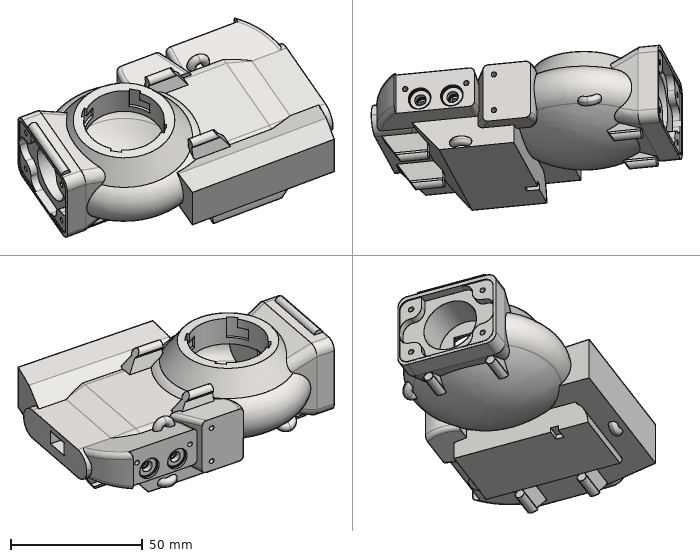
import cadquery as cq
import math


RIM_RADIUS = 19.35
RIM_TOP = 16.63
BELLY_TOP_RADIUS = 26.1
BELLY_BOTTOM_RADIUS = 28.2
BELLY_RADIUS = 32.0
BELLY_Z = -1.0
BELLY_HALF_HEIGHT = 8.3
CAP_MID = (18.2, -15.8)
CAP_BOTTOM = -19.8

SOCKET_RADIUS = 30.7 / 2
SOCKET_LEDGE_Z = 5.1
CAVITY_RADIUS = 28.0
CAVITY_TOP_RADIUS = 23.0
DISH_EDGE = (24.0, -8.3)
DISH_MID = (12.4, -14.7)
DISH_BOTTOM = -16.8

BAYONET_ANGLES = (48, 138, 228, 322)
BAYONET_WIDTH = 4.4
BAYONET_RADIUS = 16.4
BAYONET_TURN = 17
BAYONET_BOTTOM = 8.0
BAYONET_TURN_TOP = 12.8

FLANGE_X = -1.3
FLANGE_WIDTH = 41.2
FLANGE_TOP = 16.2
FLANGE_BOTTOM = -15.9
FLANGE_FRONT = -34.1
FLANGE_BACK = -26.2
FLANGE_CORNER = 4.0
NECK_END = -10.0
NECK_TOP = 9.1
NECK_BOTTOM = -10.7
NECK_SIDE_TAPER = 2.65
BEAD_LENGTH = 28.0
BEAD_X = 0.2
BEAD_RADIUS = 2.0
BEAD_Y = -32.1
BEAD_TOP = 17.8

BORE_X = -1.6
BORE_RADIUS = 22 / 2
BORE_END = -16.3
RECESS_X = -1.68
RECESS_WIDTH = 39.2
RECESS_HEIGHT = 29.0
RECESS_DEPTH = 0.5
POCKET_DEPTH = 3.0
SCREW_SPACING_X = 30.0
SCREW_SPACING_Z = 20.0
SCREW_DIAMETER = 2.1
SCREW_DEPTH = 6.0
BOSS_RADIUS = 8.7 / 2

CHANNEL_WIDTH = 9.9
CHANNEL_X = -1.55
CHANNEL_BOTTOM = -5.0
CHANNEL_TOP = 5.1
CHANNEL_KNEE = (45.0, 2.7)
CHANNEL_EXIT_TOP = 0.8
CHANNEL_EXIT_Y = 46.0

TAIL_END = 77.9
TAIL_STEP_REAR = 63.0
TAIL_STEP_FRONT = 53.0
TAIL_START = 15.0
TAIL_REAR_WIDTH = 45.0
TAIL_REAR_TOP = 3.2
TAIL_REAR_BOTTOM = -9.5
TAIL_FRONT_WIDTH = 48.7
TAIL_CORNER = 6.3
TAIL_FRONT_TOP = 5.1
TAIL_FRONT_BOTTOM = -9.5

HOUSING_FACE = -33.4
HOUSING_LIP = -36.4
HOUSING_FRONT = 35.0
HOUSING_LIP_Y = 65.7
HOUSING_REAR_MID = (-27.5, 73.3)
HOUSING_REAR_END = (-17.0, 77.0)
HOUSING_INNER = -15.0
HOUSING_TOP = 8.2
HOUSING_INNER_TOP = 2.9
HOUSING_BOTTOM = -8.7
HOUSING_FILLET = 2.0
JACK_YS = (56.5, 43.9)
JACK_Z = -3.35
JACK_STEPS = ((8.7, 1.0), (8.0, 1.5), (4.4, 4.0), (3.5, 5.0), (1.9, 8.0))
HOUSING_SCREW_YS = (62.1, 38.2)
HOUSING_SCREW_Z = 1.2
SIDE_SCREW_DIAMETER = 2.0
SIDE_SCREW_DEPTH = 4.0

BOX_FACE = -32.2
BOX_FRONT = 12.4
BOX_BULGE_X = -27.0
BOX_SIDE_FRONT = 15.0
BOX_REAR = 32.0
BOX_REAR_INNER = 38.3
BOX_INNER = -18.8
BOX_TOP = 8.9
BOX_INNER_TOP = 7.0
BOX_BOTTOM = -15.6
BOX_INNER_BOTTOM = -13.0
BOX_FILLET = 1.8
BOX_SCREW_Y = 27.7
BOX_SCREW_ZS = (4.3, -10.7)

PLATE_FACE = 38.1
PLATE_INNER = 15.6
PLATE_CORE = 10.0
PLATE_FRONT = 9.8
PLATE_REAR = 70.5
PLATE_REAR_INNER = 75.4
PLATE_TOP = 8.1
PLATE_SHOULDER = (26.3, 7.3)
PLATE_INNER_TOP = 3.2
PLATE_BOTTOM = -10.1

KEEL_LEFT = -24.0
KEEL_RIGHT = 32.1
KEEL_SIDE_MID = (31.0, -15.8)
KEEL_SIDE_TOP = (27.0, -10.5)
KEEL_BOTTOM = -21.2
KEEL_ROOT = -8.0
KEEL_FRONT = 21.8
KEEL_REAR_BOTTOM = 51.0
KEEL_REAR_TOP = 62.2
KEYWAY_X = 18.1
KEYWAY_WIDTH = 3.2
KEYWAY_HEIGHT = 2.0
KEYWAY_DEPTH = 5.0

CLIP_HEAD_RADIUS = 2.0
CLIP_NECK = 1.2
CLIP_UNDERCUT = 1.2
CLIP_ROOT = 3.5
CLIP_SLOPE = 0.68
TOP_CLIP_X = 18.0
TOP_CLIP_TIP = 13.4
TOP_CLIP_ROOT = 4.5
TOP_CLIP_YS = (19.1, 29.3)
BOTTOM_CLIP_X = 13.0
BOTTOM_CLIP_TIP = -19.2
BOTTOM_CLIP_ROOT = -9.0
BOTTOM_CLIP_YS = ((-25.7, -14.9), (57.7, 68.6))

EYELET_RING = 2.9
EYELET_WIRE = 1.8
TOP_EYELET = (-22.7, 43.3, 4.8)
KEEL_EYELET = (-22.3, 42.6, -18.9)
PLATE_EYELET = (33.8, 43.3, -8.3)
BALL_EYELET = (-27.0, -8.5, -7.5)
BALL_EYELET_TILT = 40


def ball():
    belly_top = BELLY_Z + BELLY_HALF_HEIGHT
    belly_bottom = BELLY_Z - BELLY_HALF_HEIGHT
    return (
        cq.Workplane("XZ")
        .moveTo(0, CAP_BOTTOM)
        .threePointArc(CAP_MID, (BELLY_BOTTOM_RADIUS, belly_bottom))
        .threePointArc((BELLY_RADIUS, BELLY_Z), (BELLY_TOP_RADIUS, belly_top))
        .lineTo(RIM_RADIUS, RIM_TOP)
        .lineTo(0, RIM_TOP)
        .close()
        .revolve(360, (0, 0), (0, 1))
    )


def socket():
    """Round socket above a wide dished cavity that stops short of the flange bore."""
    cavity = (
        cq.Workplane("XZ")
        .moveTo(0, DISH_BOTTOM)
        .threePointArc(DISH_MID, DISH_EDGE)
        .threePointArc((CAVITY_RADIUS, BELLY_Z), (CAVITY_TOP_RADIUS, SOCKET_LEDGE_Z))
        .lineTo(0, SOCKET_LEDGE_Z)
        .close()
        .revolve(360, (0, 0), (0, 1))
    )
    bore_side = cq.Workplane("XY").box(2 * BELLY_RADIUS, BELLY_RADIUS, 2 * BELLY_RADIUS)
    bore_side = bore_side.translate((0, -SOCKET_RADIUS - BELLY_RADIUS / 2, 0))
    opening = cq.Workplane("XY").workplane(offset=SOCKET_LEDGE_Z).circle(SOCKET_RADIUS)
    return cavity.cut(bore_side).union(opening.extrude(RIM_TOP - SOCKET_LEDGE_Z))


def bayonet_slots():
    """L-shaped slots: a straight entry, then a turn that stays below the rim."""
    entry_height = RIM_TOP - BAYONET_BOTTOM
    turn_height = BAYONET_TURN_TOP - BAYONET_BOTTOM
    half_entry = math.degrees(BAYONET_WIDTH / 2 / BAYONET_RADIUS)
    entry = sector(-half_entry, half_entry, entry_height)
    turn = sector(-half_entry - BAYONET_TURN, half_entry, turn_height)
    slot = entry.union(turn).translate((0, 0, BAYONET_BOTTOM))
    slots = cq.Workplane("XY")
    for angle in BAYONET_ANGLES:
        slots = slots.union(slot.rotate((0, 0, 0), (0, 0, 1), angle))
    return slots


def sector(start, end, height):
    """Pie slice of the bayonet radius between two angles in degrees."""
    def point(angle):
        turn = math.radians(angle)
        return BAYONET_RADIUS * math.cos(turn), BAYONET_RADIUS * math.sin(turn)

    return (
        cq.Workplane("XY")
        .lineTo(*point(start))
        .threePointArc(point((start + end) / 2), point(end))
        .close()
        .extrude(height)
    )


def rounded_section(y, x, width, top, bottom, corner):
    """Rounded rectangle standing in the plane at y."""
    centre = cq.Vector(x, (top + bottom) / 2, -y)
    return cq.Sketch().rect(width, top - bottom).vertices().fillet(corner).moved(cq.Location(centre))


def rounded_taper(*sections):
    """Straight loft through rounded sections."""
    return cq.Workplane("XZ").placeSketch(*sections).loft(ruled=True)


def prism_along_x(points, x_start, x_end):
    """Prism of an outline given as (y, z) points."""
    return cq.Workplane("YZ").workplane(offset=x_start).polyline(points).close().extrude(x_end - x_start)


def prism_along_y(points, y_start, y_end):
    """Prism of an outline given as (x, z) points."""
    return cq.Workplane("XZ").workplane(offset=-y_start).polyline(points).close().extrude(y_start - y_end)


def cylinder_along_y(x, z, radius, y_start, y_end):
    disc = cq.Workplane("XZ").workplane(offset=-y_start).center(x, z).circle(radius)
    return disc.extrude(y_start - y_end)


def cylinder_along_x(y, z, radius, x_start, x_end):
    disc = cq.Workplane("YZ").workplane(offset=x_start).center(y, z).circle(radius)
    return disc.extrude(x_end - x_start)


def flange():
    outline = (FLANGE_X, FLANGE_WIDTH, FLANGE_TOP, FLANGE_BOTTOM, FLANGE_CORNER)
    neck_width = FLANGE_WIDTH - 2 * NECK_SIDE_TAPER
    plate = rounded_taper(
        rounded_section(FLANGE_FRONT, *outline),
        rounded_section(FLANGE_BACK, *outline),
    )
    neck = rounded_taper(
        rounded_section(FLANGE_BACK, *outline),
        rounded_section(NECK_END, FLANGE_X, neck_width, NECK_TOP, NECK_BOTTOM, FLANGE_CORNER),
    )
    bead = cylinder_along_x(
        BEAD_Y, BEAD_TOP - BEAD_RADIUS, BEAD_RADIUS, BEAD_X - BEAD_LENGTH / 2, BEAD_X + BEAD_LENGTH / 2
    )
    return plate.union(neck).union(bead)


def flange_recess():
    """Shallow recess, and a deeper pocket that leaves a boss around each screw."""
    half_height = RECESS_HEIGHT / 2
    boss_face = FLANGE_FRONT + RECESS_DEPTH
    pocket_floor = boss_face + POCKET_DEPTH

    def block(y_start, y_end):
        outline = (RECESS_X, RECESS_WIDTH, half_height, -half_height, FLANGE_CORNER)
        return rounded_taper(rounded_section(y_start, *outline), rounded_section(y_end, *outline))

    pocket = block(boss_face, pocket_floor)
    for side in (-1, 1):
        for level in (-1, 1):
            pocket = pocket.cut(screw_boss(side, level, boss_face, pocket_floor))
    return block(FLANGE_FRONT, boss_face).union(pocket)


def screw_boss(side, level, y_start, y_end):
    """Corner boss whose free sides flow into the pocket wall; the upper left one ends square."""
    x = BORE_X + side * SCREW_SPACING_X / 2
    z = level * SCREW_SPACING_Z / 2
    inner_x = x - side * BOSS_RADIUS
    inner_z = z - level * BOSS_RADIUS
    wall_x = RECESS_X + side * RECESS_WIDTH / 2
    wall_z = level * RECESS_HEIGHT / 2
    flare = BOSS_RADIUS * (1 - math.sqrt(0.5))
    outline = (
        cq.Workplane("XZ")
        .workplane(offset=-y_start)
        .moveTo(x, inner_z)
        .threePointArc((inner_x + side * flare, inner_z + level * flare), (inner_x, z))
    )
    if side < 0 < level:
        outline = outline.lineTo(inner_x, wall_z)
    else:
        flare_end = (x - 2 * side * BOSS_RADIUS, wall_z)
        outline = outline.threePointArc((inner_x - side * flare, wall_z - level * flare), flare_end)
    return (
        outline.lineTo(wall_x, wall_z)
        .lineTo(wall_x, inner_z - level * BOSS_RADIUS)
        .threePointArc((wall_x - side * flare, inner_z - level * flare), (x, inner_z))
        .close()
        .extrude(y_start - y_end)
    )


def flange_holes():
    holes = cylinder_along_y(BORE_X, 0, BORE_RADIUS, FLANGE_FRONT, BORE_END)
    boss_face = FLANGE_FRONT + RECESS_DEPTH
    for side in (-1, 1):
        for level in (-1, 1):
            x = BORE_X + side * SCREW_SPACING_X / 2
            z = level * SCREW_SPACING_Z / 2
            hole = cylinder_along_y(x, z, SCREW_DIAMETER / 2, boss_face, boss_face + SCREW_DEPTH)
            holes = holes.union(hole)
    return holes


def channel():
    outline = [
        (BORE_END, CHANNEL_BOTTOM),
        (TAIL_END, CHANNEL_BOTTOM),
        (TAIL_END, CHANNEL_EXIT_TOP),
        (CHANNEL_EXIT_Y, CHANNEL_EXIT_TOP),
        CHANNEL_KNEE,
        (BORE_END, CHANNEL_TOP),
    ]
    return prism_along_x(outline, CHANNEL_X - CHANNEL_WIDTH / 2, CHANNEL_X + CHANNEL_WIDTH / 2)


def tail():
    def section(y, width, top, bottom):
        return rounded_section(y, 0, width, top, bottom, TAIL_CORNER)

    front = (TAIL_FRONT_WIDTH, TAIL_FRONT_TOP, TAIL_FRONT_BOTTOM)
    rear = (TAIL_REAR_WIDTH, TAIL_REAR_TOP, TAIL_REAR_BOTTOM)
    body = rounded_taper(section(TAIL_START, *front), section(TAIL_STEP_FRONT, *front))
    step = rounded_taper(section(TAIL_STEP_FRONT, *front), section(TAIL_STEP_REAR, *rear))
    end = rounded_taper(section(TAIL_STEP_REAR, *rear), section(TAIL_END, *rear))
    return body.union(step).union(end)


def housing():
    """Connector housing on the left; its curved rear wall stands proud of the face as a lip."""
    plan = (
        cq.Workplane("XY")
        .workplane(offset=HOUSING_BOTTOM)
        .moveTo(HOUSING_LIP, HOUSING_FRONT)
        .lineTo(HOUSING_LIP, HOUSING_LIP_Y)
        .threePointArc(HOUSING_REAR_MID, HOUSING_REAR_END)
        .lineTo(HOUSING_INNER, HOUSING_REAR_END[1])
        .lineTo(HOUSING_INNER, HOUSING_FRONT)
        .close()
        .extrude(HOUSING_TOP - HOUSING_BOTTOM)
    )
    profile = [
        (HOUSING_LIP, HOUSING_TOP),
        (HOUSING_INNER, HOUSING_INNER_TOP),
        (HOUSING_INNER, HOUSING_BOTTOM),
        (HOUSING_LIP, HOUSING_BOTTOM),
    ]
    body = plan.intersect(prism_along_y(profile, HOUSING_FRONT, HOUSING_REAR_END[1]))
    body = body.faces("%CYLINDER").edges("not |Z").fillet(HOUSING_FILLET)
    body = body.faces("<Y").edges("not |Z").fillet(HOUSING_FILLET)
    face_cut = [
        (HOUSING_FRONT, HOUSING_BOTTOM),
        (HOUSING_LIP_Y, HOUSING_BOTTOM),
        (HOUSING_LIP_Y, HOUSING_TOP),
        (HOUSING_FRONT, HOUSING_TOP),
    ]
    return body.cut(prism_along_x(face_cut, HOUSING_LIP, HOUSING_FACE))


def housing_holes():
    holes = cq.Workplane("XY")
    for y in JACK_YS:
        for diameter, depth in JACK_STEPS:
            hole = cylinder_along_x(y, JACK_Z, diameter / 2, HOUSING_FACE, HOUSING_FACE + depth)
            holes = holes.union(hole)
    for y in HOUSING_SCREW_YS:
        holes = holes.union(side_screw_hole(HOUSING_FACE, y, HOUSING_SCREW_Z))
    for z in BOX_SCREW_ZS:
        holes = holes.union(side_screw_hole(BOX_FACE, BOX_SCREW_Y, z))
    return holes


def side_screw_hole(face, y, z):
    return cylinder_along_x(y, z, SIDE_SCREW_DIAMETER / 2, face, face + SIDE_SCREW_DEPTH)


def left_box():
    """Box with a slanted rear wall and a bulged front wall, trimmed to its flat outer face."""
    stock_x = 2 * BOX_BULGE_X - BOX_INNER
    slope = (BOX_REAR_INNER - BOX_REAR) / (BOX_INNER - BOX_FACE)
    stock_rear = BOX_REAR - slope * (BOX_FACE - stock_x)
    plan = (
        cq.Workplane("XY")
        .workplane(offset=BOX_BOTTOM)
        .moveTo(stock_x, BOX_SIDE_FRONT)
        .lineTo(stock_x, stock_rear)
        .lineTo(BOX_INNER, BOX_REAR_INNER)
        .lineTo(BOX_INNER, BOX_SIDE_FRONT)
        .threePointArc((BOX_BULGE_X, BOX_FRONT), (stock_x, BOX_SIDE_FRONT))
        .close()
        .extrude(BOX_TOP - BOX_BOTTOM)
    )
    profile = [
        (stock_x, BOX_TOP),
        (BOX_INNER, BOX_INNER_TOP),
        (BOX_INNER, BOX_INNER_BOTTOM),
        (stock_x, BOX_BOTTOM),
    ]
    body = plan.intersect(prism_along_y(profile, BOX_FRONT, BOX_REAR_INNER))
    body = body.faces("%CYLINDER").edges("not |Z").fillet(BOX_FILLET)
    slant = cq.Vector(-slope, 1, 0)
    rear = body.faces(cq.selectors.DirectionMinMaxSelector(slant))
    body = rear.edges("not |Z").fillet(BOX_FILLET)
    side = [
        (BOX_FRONT, BOX_BOTTOM),
        (BOX_REAR_INNER, BOX_BOTTOM),
        (BOX_REAR_INNER, BOX_TOP),
        (BOX_FRONT, BOX_TOP),
    ]
    return body.cut(prism_along_x(side, stock_x, BOX_FACE))


def right_plate():
    outline = [
        (PLATE_CORE, PLATE_FRONT),
        (PLATE_FACE, PLATE_FRONT),
        (PLATE_FACE, PLATE_REAR),
        (PLATE_INNER, PLATE_REAR_INNER),
        (PLATE_CORE, PLATE_REAR_INNER),
    ]
    height = PLATE_TOP - PLATE_BOTTOM
    plan = cq.Workplane("XY").workplane(offset=PLATE_BOTTOM).polyline(outline).close().extrude(height)
    profile = [
        (PLATE_CORE, PLATE_BOTTOM),
        (PLATE_FACE, PLATE_BOTTOM),
        (PLATE_FACE, PLATE_TOP),
        PLATE_SHOULDER,
        (PLATE_INNER, PLATE_INNER_TOP),
    ]
    return plan.intersect(prism_along_y(profile, PLATE_FRONT, PLATE_REAR_INNER))


def keel():
    bar = (
        cq.Workplane("XZ")
        .workplane(offset=-KEEL_FRONT)
        .moveTo(KEEL_LEFT, KEEL_ROOT)
        .lineTo(KEEL_LEFT, KEEL_BOTTOM)
        .lineTo(KEEL_RIGHT, KEEL_BOTTOM)
        .threePointArc(KEEL_SIDE_MID, KEEL_SIDE_TOP)
        .lineTo(KEEL_SIDE_TOP[0], KEEL_ROOT)
        .close()
        .extrude(KEEL_FRONT - KEEL_REAR_TOP)
    )
    side = [
        (KEEL_FRONT, KEEL_BOTTOM),
        (KEEL_REAR_BOTTOM, KEEL_BOTTOM),
        (KEEL_REAR_TOP, KEEL_ROOT),
        (KEEL_FRONT, KEEL_ROOT),
    ]
    keyway = cq.Workplane("XY").box(
        KEYWAY_WIDTH, KEYWAY_DEPTH, KEYWAY_HEIGHT, centered=(True, False, False)
    ).translate((KEYWAY_X, KEEL_FRONT, KEEL_BOTTOM))
    return bar.intersect(prism_along_x(side, KEEL_LEFT, KEEL_RIGHT)).cut(keyway)


def clip(x, y_start, y_end, tip, root):
    """Half-round head along Y on a narrow flared web, cut off on a slope at its rear end."""
    away = math.copysign(1, tip - root)
    head_z = tip - away * CLIP_HEAD_RADIUS
    neck_z = head_z - away * CLIP_UNDERCUT
    y_root = y_end + CLIP_SLOPE * abs(tip - root)
    bar = (
        cq.Workplane("XZ")
        .workplane(offset=-y_start)
        .moveTo(x - CLIP_ROOT, root)
        .lineTo(x - CLIP_NECK, neck_z)
        .lineTo(x - CLIP_HEAD_RADIUS, head_z)
        .threePointArc((x, tip), (x + CLIP_HEAD_RADIUS, head_z))
        .lineTo(x + CLIP_NECK, neck_z)
        .lineTo(x + CLIP_ROOT, root)
        .close()
        .extrude(y_start - y_root)
    )
    side = [(y_start, root), (y_start, tip), (y_end, tip), (y_root, root)]
    return bar.intersect(prism_along_x(side, x - CLIP_ROOT, x + CLIP_ROOT))


def clips():
    pieces = cq.Workplane("XY")
    for side in (-1, 1):
        pieces = pieces.union(clip(side * TOP_CLIP_X, *TOP_CLIP_YS, TOP_CLIP_TIP, TOP_CLIP_ROOT))
        for y_start, y_end in BOTTOM_CLIP_YS:
            pieces = pieces.union(
                clip(side * BOTTOM_CLIP_X, y_start, y_end, BOTTOM_CLIP_TIP, BOTTOM_CLIP_ROOT)
            )
    return pieces


def eyelet(position, direction):
    """Ring around the given axis direction."""
    return cq.Workplane(
        cq.Solid.makeTorus(EYELET_RING, EYELET_WIRE, cq.Vector(*position), cq.Vector(*direction))
    )


def eyelets():
    tilt = math.radians(BALL_EYELET_TILT)
    rings = eyelet(BALL_EYELET, (math.sin(tilt), 0, -math.cos(tilt)))
    rings = rings.union(eyelet(KEEL_EYELET, (0, 0, 1)))
    for position in (TOP_EYELET, PLATE_EYELET):
        rings = rings.union(eyelet(position, (1, 0, 0)))
    return rings


outside = ball().union(flange()).union(tail()).union(keel())
outside = outside.union(housing()).union(left_box()).union(right_plate())
outside = outside.union(clips()).union(eyelets())

result = (
    outside.cut(socket())
    .cut(bayonet_slots())
    .cut(flange_recess())
    .cut(flange_holes())
    .cut(channel())
    .cut(housing_holes())
)